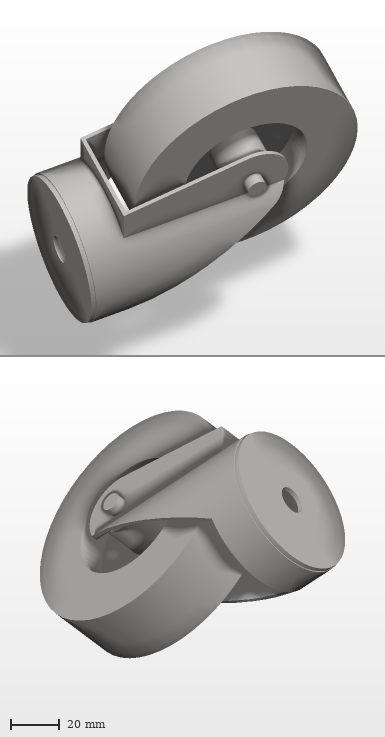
import cadquery as cq
import math

OVERALL_LENGTH = 127.0

CUP_RADIUS = 32.5
CUP_LENGTH = 19.2
WALL = 1.7
RIM_STEP = 0.5
RIM_LENGTH = 2.0
MOUNT_HOLE_RADIUS = 6.0

WHEEL_RADIUS = 50.0
WHEEL_WIDTH = 30.0
WHEEL_Y = OVERALL_LENGTH - WHEEL_RADIUS
WHEEL_Z = 32.0
RECESS_RADIUS = 27.4
WEB_THICKNESS = 4.1
HUB_RADIUS = 10.8
PIN_RADIUS = 4.1
PIN_LENGTH = 52.3

FORK_WIDTH = 43.2
FORK_INNER_WIDTH = FORK_WIDTH - 2 * WALL
EYE_RADIUS = 16.0
FORK_TOP_Z = 39.8
FORK_BOTTOM_Z = -17.5


def disc_along_y(radius, y_start, y_end):
    return cq.Workplane("XZ", origin=(0, y_start, 0)).circle(radius).extrude(y_start - y_end)


def disc_on_axle(radius, width):
    plane = cq.Workplane("YZ", origin=(-width / 2, WHEEL_Y, WHEEL_Z))
    return plane.circle(radius).extrude(width)


def eye_tangent_point(z_start, side):
    """Point where a line from the cup's rear face touches the eye; side is +1 above, -1 below."""
    to_start_y = CUP_LENGTH - WHEEL_Y
    to_start_z = z_start - WHEEL_Z
    distance = math.hypot(to_start_y, to_start_z)
    angle = math.atan2(to_start_z, to_start_y) - side * math.acos(EYE_RADIUS / distance)
    return (WHEEL_Y + EYE_RADIUS * math.cos(angle), WHEEL_Z + EYE_RADIUS * math.sin(angle))


def make_fork_outline():
    """Side outline of the cheeks, extruded over the whole width of the cup."""
    return (
        cq.Workplane("YZ")
        .moveTo(CUP_LENGTH, FORK_BOTTOM_Z)
        .lineTo(*eye_tangent_point(FORK_BOTTOM_Z, -1))
        .threePointArc((WHEEL_Y + EYE_RADIUS, WHEEL_Z), eye_tangent_point(FORK_TOP_Z, 1))
        .lineTo(CUP_LENGTH, FORK_TOP_Z)
        .close()
        .extrude(CUP_RADIUS, both=True)
    )


def upper_box(width, y_start):
    """Box from the cylinder's axis to above the eye, reaching past the end of the fork."""
    length = OVERALL_LENGTH - y_start
    height = WHEEL_Z + WHEEL_RADIUS
    base = cq.Workplane("XY", origin=(0, y_start, 0))
    return base.box(width, length, height, centered=(True, False, False))


def make_fork():
    section = disc_along_y(CUP_RADIUS, CUP_LENGTH, OVERALL_LENGTH).union(upper_box(FORK_WIDTH, CUP_LENGTH))
    cheeks = section.intersect(make_fork_outline())
    cup = disc_along_y(CUP_RADIUS, RIM_LENGTH, CUP_LENGTH)
    rim = disc_along_y(CUP_RADIUS - RIM_STEP, 0, RIM_LENGTH)
    fork = cheeks.union(cup).union(rim)
    fork = fork.cut(disc_along_y(CUP_RADIUS - WALL, RIM_LENGTH, OVERALL_LENGTH))
    fork = fork.cut(upper_box(FORK_INNER_WIDTH, CUP_LENGTH + WALL))
    fork = fork.cut(disc_along_y(MOUNT_HOLE_RADIUS, 0, RIM_LENGTH))
    return fork.cut(disc_on_axle(PIN_RADIUS, PIN_LENGTH))


def make_wheel():
    """Wheel with its web, hub and axle pin."""
    tyre = disc_on_axle(WHEEL_RADIUS, WHEEL_WIDTH).cut(disc_on_axle(RECESS_RADIUS, WHEEL_WIDTH))
    web = disc_on_axle(RECESS_RADIUS, WEB_THICKNESS)
    hub = disc_on_axle(HUB_RADIUS, FORK_INNER_WIDTH)
    pin = disc_on_axle(PIN_RADIUS, PIN_LENGTH)
    return tyre.union(web).union(hub).union(pin)


fork = make_fork()
wheel = make_wheel()
result = cq.Compound.makeCompound([fork.solids().val(), wheel.solids().val()])